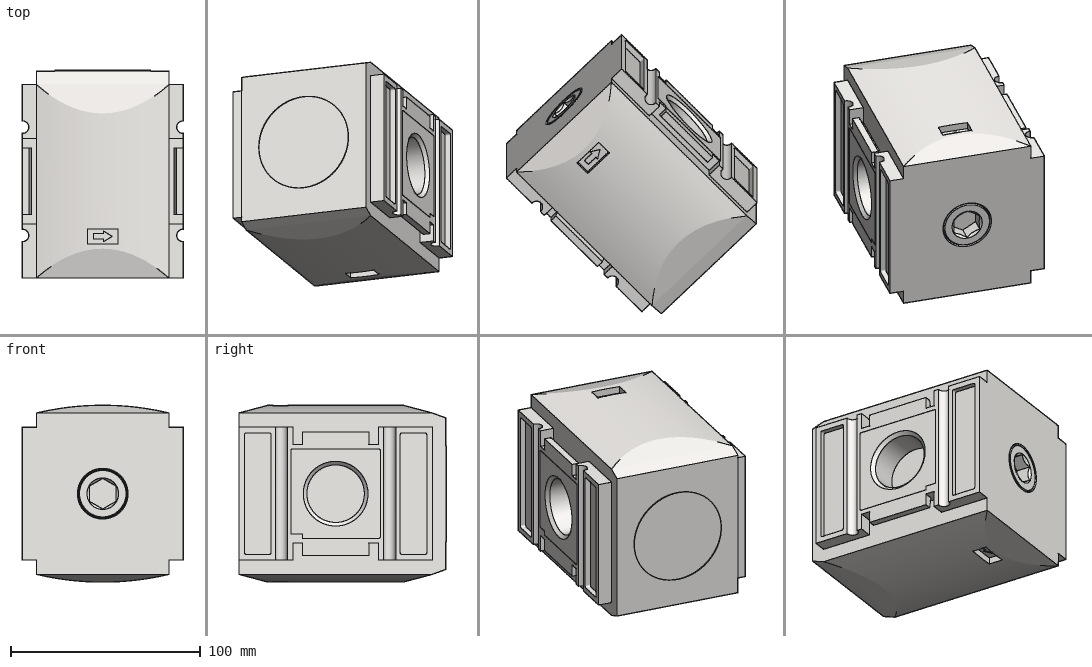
import cadquery as cq
import math


body_size = 85.0
body_length = 102.0
core_width = 70.0
total_height = 93.25
dome_end_angle = 15.0

half_size = body_size / 2
half_length = body_length / 2
half_core = core_width / 2
half_height = total_height / 2
dome_rise = half_height - half_size

cap_length = 7.0
cap_angle = 20.0
disc_diameter = 50.4
disc_height = 0.5

groove_radius = 3.2
groove_offset = 28.5
groove_inset = 0.3
pocket_center = 41.0
pocket_width = 14.0
pocket_height = 64.0
pocket_depth = 3.0
pocket_corner = 1.0

gap_width = 45.0
gap_floor = 26.0
tongue_width = 35.0
tongue_top = 32.5
tongue_top_thickness = 3.75
tongue_root_thickness = 5.0

port_diameter = 30.29
port_chamfer = 2.0
port_depth = 18.0
seat_size = 47.0
seat_depth = 0.1
seat_corner = 0.7
seat_step_height = 2.25
seat_step_y = -tongue_width / 2

plug_diameter = 25.6
plug_groove_width = 1.1
plug_groove_depth = 0.55
hex_flats = 14.0
hex_depth = 8.0
hex_mouth_diameter = 16.6

window_width = 16.0
window_length = 8.0
window_y = -29.0
window_floor = 42.75
arrow_depth = 0.5
arrow_tail_x = -5.0
arrow_neck_x = 0.5
arrow_tip_x = 5.0
arrow_shaft_half = 1.5
arrow_head_half = 2.75


def both_ends(shape, plane):
    """The shape together with its mirror image in an origin plane."""
    return shape.union(shape.mirror(plane))


def make_core():
    """Domed core, with the ends of both domes cut by sloping planes."""
    section = (
        cq.Workplane("XZ", origin=(0, half_length, 0))
        .moveTo(-half_core, -half_size)
        .lineTo(-half_core, half_size)
        .threePointArc((0, half_height), (half_core, half_size))
        .lineTo(half_core, -half_size)
        .threePointArc((0, -half_height), (-half_core, -half_size))
        .close()
        .extrude(body_length)
    )
    slope_run = dome_rise / math.tan(math.radians(dome_end_angle))
    envelope = (
        cq.Workplane("YZ", origin=(-half_core, 0, 0))
        .moveTo(-half_length, -half_size)
        .lineTo(-half_length, half_size)
        .lineTo(-half_length + slope_run, half_height)
        .lineTo(half_length - slope_run, half_height)
        .lineTo(half_length, half_size)
        .lineTo(half_length, -half_size)
        .lineTo(half_length - slope_run, -half_height)
        .lineTo(-half_length + slope_run, -half_height)
        .close()
        .extrude(core_width)
    )
    return section.intersect(envelope)


def make_rear_end():
    """Tapered cap behind the block, carrying a low round disc."""
    cap_drop = cap_length * math.tan(math.radians(cap_angle))
    cap_end = half_length + cap_length
    cap = (
        cq.Workplane("YZ", origin=(-half_core, 0, 0))
        .moveTo(half_length, -half_size)
        .lineTo(half_length, half_size)
        .lineTo(cap_end, half_size - cap_drop)
        .lineTo(cap_end, -half_size + cap_drop)
        .close()
        .extrude(core_width)
    )
    disc = (
        cq.Workplane("XZ", origin=(0, cap_end, 0))
        .circle(disc_diameter / 2)
        .extrude(-disc_height)
    )
    return cap.union(disc)


def make_tongue_gap():
    """Space cut above the gap floor on the -X side, leaving the tongue standing."""
    side_depth = half_size - half_core
    gap = (
        cq.Workplane("XY", origin=(-half_size, 0, gap_floor))
        .rect(2 * side_depth, gap_width)
        .extrude(half_core - gap_floor)
    )
    tongue = (
        cq.Workplane("XZ", origin=(0, tongue_width / 2, 0))
        .moveTo(-half_size, gap_floor)
        .lineTo(-half_size, tongue_top)
        .lineTo(-half_size + tongue_top_thickness, tongue_top)
        .lineTo(-half_size + tongue_root_thickness, gap_floor)
        .close()
        .extrude(tongue_width)
    )
    return gap.cut(tongue)


def make_groove():
    """Round vertical groove in the -X side face."""
    return (
        cq.Workplane("XY", origin=(-half_size + groove_inset, groove_offset, -half_core))
        .circle(groove_radius)
        .extrude(core_width)
    )


def make_pocket():
    """Shallow rectangular pocket in the -X side face."""
    return (
        cq.Workplane("YZ", origin=(-half_size, pocket_center, 0))
        .rect(pocket_width, pocket_height)
        .extrude(pocket_depth)
        .edges("|X")
        .fillet(pocket_corner)
    )


def make_port():
    """Blind port with a chamfered mouth, in a shallow square seat on the -X side."""
    seat = (
        cq.Workplane("YZ", origin=(-half_size, 0, 0))
        .rect(seat_size, seat_size)
        .extrude(seat_depth)
        .edges("|X")
        .fillet(seat_corner)
    )
    half_seat = seat_size / 2
    step = cq.Workplane("XY").box(
        seat_depth, half_seat + seat_step_y, seat_step_height, centered=False
    ).translate((-half_size, -half_seat, -half_seat))
    port_radius = port_diameter / 2
    bore = (
        cq.Workplane("XY")
        .moveTo(-half_size, 0)
        .lineTo(-half_size, port_radius + port_chamfer)
        .lineTo(-half_size + port_chamfer, port_radius)
        .lineTo(-half_size + port_depth, port_radius)
        .lineTo(-half_size + port_depth, 0)
        .close()
        .revolve(360, (0, 0, 0), (1, 0, 0))
    )
    return seat.cut(step).union(bore)


def make_side_cuts():
    """Everything removed from the -X side."""
    cuts = both_ends(make_tongue_gap(), "XY")
    cuts = cuts.union(both_ends(make_groove(), "XZ"))
    cuts = cuts.union(both_ends(make_pocket(), "XZ"))
    return cuts.union(make_port())


def make_plug_cuts():
    """V-groove around the front plug and its hexagon socket with a 45 degree mouth."""
    plug_radius = plug_diameter / 2
    half_groove = plug_groove_width / 2
    groove = (
        cq.Workplane("XY")
        .moveTo(plug_radius - half_groove, -half_length)
        .lineTo(plug_radius + half_groove, -half_length)
        .lineTo(plug_radius, -half_length + plug_groove_depth)
        .close()
        .revolve(360, (0, 0, 0), (0, 1, 0))
    )
    hex_corners = hex_flats / math.cos(math.radians(30))
    socket = (
        cq.Workplane("XZ", origin=(0, -half_length, 0))
        .transformed(rotate=(0, 0, 90))
        .polygon(6, hex_corners)
        .extrude(-hex_depth)
    )
    mouth_radius = hex_mouth_diameter / 2
    mouth_chamfer = mouth_radius - hex_flats / 2
    mouth = (
        cq.Workplane("XY")
        .moveTo(0, -half_length)
        .lineTo(mouth_radius, -half_length)
        .lineTo(hex_flats / 2, -half_length + mouth_chamfer)
        .lineTo(0, -half_length + mouth_chamfer)
        .close()
        .revolve(360, (0, 0, 0), (0, 1, 0))
    )
    return groove.union(socket).union(mouth)


def make_window():
    """Rectangular window in the upper dome with an arrow engraved in its floor."""
    window = (
        cq.Workplane("XY", origin=(0, window_y, window_floor))
        .rect(window_width, window_length)
        .extrude(half_height - window_floor)
    )
    arrow = (
        cq.Workplane("XY", origin=(0, window_y, window_floor))
        .moveTo(arrow_tail_x, -arrow_shaft_half)
        .lineTo(arrow_neck_x, -arrow_shaft_half)
        .lineTo(arrow_neck_x, -arrow_head_half)
        .lineTo(arrow_tip_x, 0)
        .lineTo(arrow_neck_x, arrow_head_half)
        .lineTo(arrow_neck_x, arrow_shaft_half)
        .lineTo(arrow_tail_x, arrow_shaft_half)
        .close()
        .extrude(-arrow_depth)
    )
    return window.union(arrow)


side_plates = cq.Workplane("XY").box(body_size, body_length, core_width)
result = make_core().union(side_plates).union(make_rear_end())
result = result.cut(both_ends(make_side_cuts(), "YZ"))
result = result.cut(make_plug_cuts())
result = result.cut(both_ends(make_window(), "XY"))